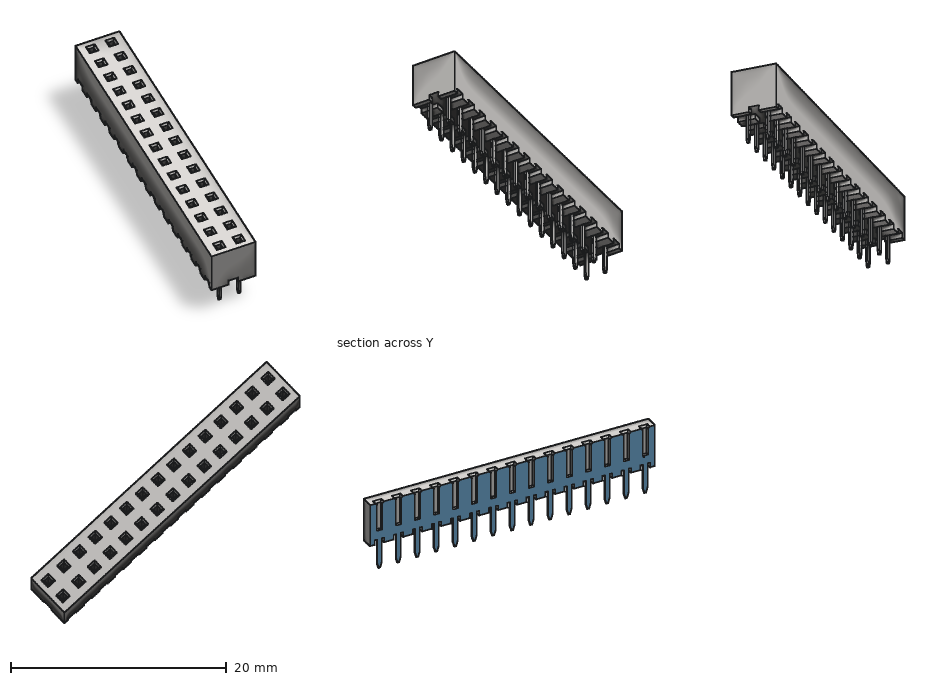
import cadquery as cq

body_length = 30.0
body_width = 4.5
body_height = 4.5
overall_height = 7.1
columns = 15
rows = 2

channel_width = 1.0
channel_depth = 0.5

funnel_side = 0.9
contact_hole_side = 0.5
contact_hole_depth = 3.0

pin_width = 0.5
pin_thickness = 0.2
pin_tip_width = 0.2
pin_tip_length = 0.5

pitch = body_length / columns
pin_bottom = body_height - overall_height
funnel_depth = (funnel_side - contact_hole_side) / 2
column_positions = [(i - (columns - 1) / 2) * pitch for i in range(columns)]
row_positions = [(i - (rows - 1) / 2) * pitch for i in range(rows)]
contact_positions = [(x, y) for x in column_positions for y in row_positions]


def make_housing():
    """Plain block with its bottom face at Z = 0."""
    return cq.Workplane("XY").box(body_length, body_width, body_height, centered=(True, True, False))


def make_channels():
    """One lengthwise channel and a cross channel under every column of pins."""
    centered = (True, True, False)
    channels = cq.Workplane("XY").box(body_length, channel_width, channel_depth, centered=centered)
    for x in column_positions:
        cross = cq.Workplane("XY").center(x, 0)
        channels = channels.union(cross.box(channel_width, body_width, channel_depth, centered=centered))
    return channels


def make_openings():
    """Square funnels that lead down into straight blind holes."""
    funnel = (
        cq.Workplane("XY", origin=(0, 0, body_height - funnel_depth))
        .rect(contact_hole_side, contact_hole_side)
        .workplane(offset=funnel_depth)
        .rect(funnel_side, funnel_side)
        .loft(ruled=True)
    )
    hole = (
        cq.Workplane("XY", origin=(0, 0, body_height - contact_hole_depth))
        .rect(contact_hole_side, contact_hole_side)
        .extrude(contact_hole_depth)
    )
    opening = funnel.union(hole).val()
    return cq.Workplane("XY").pushPoints(contact_positions).eachpoint(lambda place: opening.moved(place))


def make_pins():
    """Flat pins hanging from the channel roof, each narrowed at its tip."""
    shoulder = pin_bottom + pin_tip_length
    half_width = pin_width / 2
    half_tip = pin_tip_width / 2
    pin = (
        cq.Workplane("XZ")
        .polyline([
            (-half_width, channel_depth),
            (-half_width, shoulder),
            (-half_tip, pin_bottom),
            (half_tip, pin_bottom),
            (half_width, shoulder),
            (half_width, channel_depth),
        ])
        .close()
        .extrude(pin_thickness / 2, both=True)
        .val()
    )
    return cq.Workplane("XY").pushPoints(contact_positions).eachpoint(lambda place: pin.moved(place))


result = make_housing().cut(make_channels()).cut(make_openings()).union(make_pins())